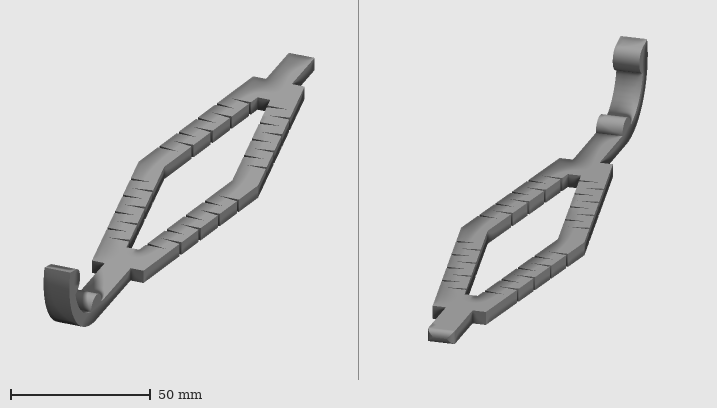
import cadquery as cq
import math

THICKNESS = 5.0
STRAP_WIDTH = 10.0
FRAME_HALF_LENGTH = 75.0
TAIL_LENGTH = 23.0
SHANK_LENGTH = 32.0
TAIL_END_ROUNDING = 2.4

FRAME_HALF_WIDTH = 23.18
FRAME_END_HALF_WIDTH = 10.0
ARM_WIDTH = 10.0
WINDOW_HALF_LENGTH = 61.0

SLITS_PER_EDGE = 4
SLIT_PITCH = 12.5
FIRST_OUTER_SLIT = 12.5
FIRST_INNER_SLIT = 19.25
SLIT_DEPTH = 8.0
SLIT_ANGLE = 10.0
SLIT_OVERSHOOT = 1.0

HOOK_OUTER_RADIUS = 25.0
HOOK_INNER_RADIUS = HOOK_OUTER_RADIUS - THICKNESS
BEAD_RADIUS = 5.0
TIP_SLOPE = 15.0
ARC_MIDDLE = math.radians(-45)

HOOK_CENTER_Y = -FRAME_HALF_LENGTH - SHANK_LENGTH
HOOK_CENTER_Z = HOOK_OUTER_RADIUS
ARM_RUN = FRAME_HALF_WIDTH - FRAME_END_HALF_WIDTH


def outer_edge_x(y):
    """Half width of the diamond frame at a given y."""
    return FRAME_HALF_WIDTH - ARM_RUN * abs(y) / FRAME_HALF_LENGTH


def inner_edge_x(y):
    """Half width of the window at a given y."""
    return outer_edge_x(y) - ARM_WIDTH


def hexagon_plate(half_length, middle_half_width, end_half_width):
    """Plate widest at y = 0 and narrowing straight to both ends."""
    return (
        cq.Workplane("XY")
        .polyline(
            [
                (middle_half_width, 0),
                (end_half_width, half_length),
                (-end_half_width, half_length),
                (-middle_half_width, 0),
                (-end_half_width, -half_length),
                (end_half_width, -half_length),
            ]
        )
        .close()
        .extrude(THICKNESS)
    )


def slit(edge_x, y, depth_direction, opening_direction):
    """Wedge with one face at y, square to the Y axis, cut in from an arm edge at edge_x."""
    depth = SLIT_DEPTH + SLIT_OVERSHOOT
    mouth_x = edge_x - depth_direction * SLIT_OVERSHOOT
    mouth_width = depth * math.tan(math.radians(SLIT_ANGLE))
    return (
        cq.Workplane("XY")
        .polyline(
            [
                (edge_x + depth_direction * SLIT_DEPTH, y),
                (mouth_x, y),
                (mouth_x, y + opening_direction * mouth_width),
            ]
        )
        .close()
        .extrude(THICKNESS)
    )


def make_frame():
    """Diamond frame with slits alternating between its outer and inner edges."""
    frame = hexagon_plate(FRAME_HALF_LENGTH, FRAME_HALF_WIDTH, FRAME_END_HALF_WIDTH)
    window = hexagon_plate(WINDOW_HALF_LENGTH, inner_edge_x(0), inner_edge_x(WINDOW_HALF_LENGTH))
    frame = frame.cut(window)

    for i in range(SLITS_PER_EDGE):
        outer_y = FIRST_OUTER_SLIT + i * SLIT_PITCH
        inner_y = FIRST_INNER_SLIT + i * SLIT_PITCH
        outer_slit = slit(outer_edge_x(outer_y), outer_y, -1, 1)
        inner_slit = slit(inner_edge_x(inner_y), inner_y, 1, -1)
        for wedge in (outer_slit, inner_slit):
            both_arms = wedge.union(wedge.mirror("YZ"))
            frame = frame.cut(both_arms).cut(both_arms.mirror("XZ"))
    return frame


def make_tail():
    """Strap beyond the +Y end of the frame, rounded around its end face."""
    return (
        cq.Workplane("XY")
        .box(STRAP_WIDTH, TAIL_LENGTH, THICKNESS, centered=(True, False, False))
        .translate((0, FRAME_HALF_LENGTH, 0))
        .faces(">Y")
        .edges()
        .fillet(TAIL_END_ROUNDING)
    )


def make_shank():
    """Strap between the -Y end of the frame and the start of the hook."""
    return (
        cq.Workplane("XY")
        .box(STRAP_WIDTH, SHANK_LENGTH, THICKNESS, centered=(True, False, False))
        .translate((0, HOOK_CENTER_Y, 0))
    )


def side_sketch():
    """Sketch plane on the strap's -X side, with local axes along Y and Z."""
    return cq.Workplane("YZ", origin=(-STRAP_WIDTH / 2, 0, 0))


def hook_point(radius, angle):
    """(y, z) at an angle above the hook center's horizontal, measured from the -Y direction."""
    return (
        HOOK_CENTER_Y - radius * math.cos(angle),
        HOOK_CENTER_Z + radius * math.sin(angle),
    )


def make_hook():
    """Arc-shaped hook with two beads and a sloped tip face tangent to the upper bead."""
    slope = math.radians(TIP_SLOPE)
    upper_bead = hook_point(HOOK_INNER_RADIUS, 0)
    lower_bead = (HOOK_CENTER_Y, THICKNESS)

    tangent_point = (
        upper_bead[0] + BEAD_RADIUS * math.sin(slope),
        upper_bead[1] + BEAD_RADIUS * math.cos(slope),
    )
    tip_face_offset = BEAD_RADIUS - HOOK_INNER_RADIUS * math.sin(slope)
    tip_angle = slope + math.asin(tip_face_offset / HOOK_OUTER_RADIUS)

    bend = (
        side_sketch()
        .moveTo(HOOK_CENTER_Y, 0)
        .threePointArc(
            hook_point(HOOK_OUTER_RADIUS, ARC_MIDDLE),
            hook_point(HOOK_OUTER_RADIUS, tip_angle),
        )
        .lineTo(*tangent_point)
        .lineTo(*upper_bead)
        .threePointArc(hook_point(HOOK_INNER_RADIUS, ARC_MIDDLE), lower_bead)
        .close()
        .extrude(STRAP_WIDTH)
    )
    beads = side_sketch().pushPoints([upper_bead, lower_bead]).circle(BEAD_RADIUS).extrude(STRAP_WIDTH)
    return bend.union(beads)


result = make_frame().union(make_tail()).union(make_shank()).union(make_hook())